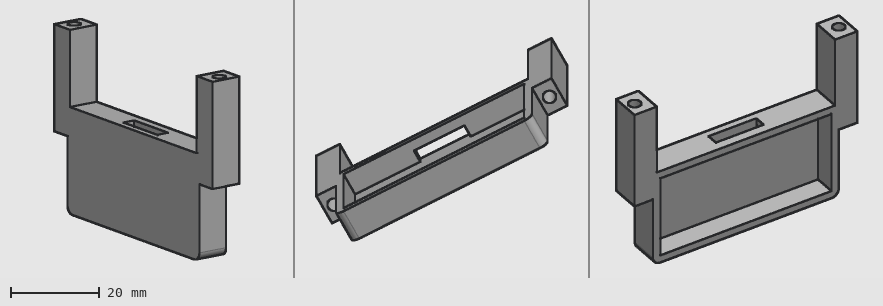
import cadquery as cq

width = 60.0
depth = 7.5
height = 43.0

arm_width = 6.0
arm_height = 18.0
shoulder_overhang = 5.0
shoulder_z = 18.0
corner_radius = 2.0
body_width = width - 2 * shoulder_overhang
body_top = height - arm_height

wall = 2.0
cavity_width = body_width - 2 * wall
cavity_height = body_top - 2 * wall
cavity_depth = depth - wall

slot_length = 12.85
slot_width = 3.0

hole_diameter = 3.0
hole_inset = 2.5


def block(size_x, size_y, size_z, front_y, bottom_z):
    """Box centred on X, starting at the given front and bottom."""
    return (
        cq.Workplane("XY")
        .box(size_x, size_y, size_z, centered=(True, False, False))
        .translate((0, front_y, bottom_z))
    )


body = block(body_width, depth, body_top, 0, 0)
body = body.faces("<Z").edges("|Y").fillet(corner_radius)

frame = block(width, depth, height - shoulder_z, 0, shoulder_z)
arm_gap = block(width - 2 * arm_width, depth, arm_height, 0, body_top)
frame = frame.cut(arm_gap)

cavity = block(cavity_width, cavity_depth, cavity_height, wall, wall)
slot = block(slot_length, slot_width, wall, wall, body_top - wall)

hole_x = width / 2 - hole_inset
screw_holes = (
    cq.Workplane("XY")
    .pushPoints([(-hole_x, depth / 2), (hole_x, depth / 2)])
    .circle(hole_diameter / 2)
    .extrude(height)
)

frame = frame.cut(screw_holes)
result = body.union(frame).cut(cavity).cut(slot)